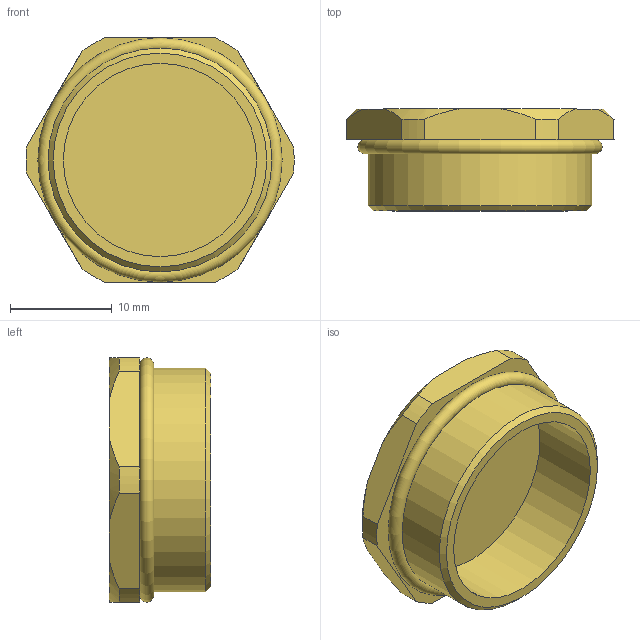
import cadquery as cq
import math

across_flats = 24.0
across_corners = across_flats / math.cos(math.pi / 6)
corner_diameter = 26.35
head_thickness = 3.0
head_chamfer = 1.0

shank_diameter = 22.0
shank_length = 7.0
shank_chamfer = 0.5
bore_diameter = 19.0
bore_depth = shank_length

ring_outer_diameter = 24.0
ring_thickness = 1.4

open_end_y = 0.0
head_inner_y = open_end_y + shank_length
head_outer_y = head_inner_y + head_thickness


def cylinder_along_y(diameter, start_y, length):
    """Cylinder on the Y axis, running from start_y toward +Y."""
    return cq.Workplane("XZ", origin=(0, start_y, 0)).circle(diameter / 2).extrude(-length)


def revolve_about_y(profile):
    """Full turn of a closed profile drawn in the YZ plane (local x is Y, local y is Z)."""
    return profile.revolve(360, (0, 0, 0), (1, 0, 0))


def make_head():
    """Hexagon with two flats facing +Z and -Z, corners turned down and chamfered."""
    hexagon = (
        cq.Workplane("XZ", origin=(0, head_inner_y, 0))
        .polygon(6, across_corners)
        .extrude(-head_thickness)
    )
    turned_blank = revolve_about_y(
        cq.Workplane("YZ")
        .moveTo(head_inner_y, 0)
        .lineTo(head_inner_y, corner_diameter / 2)
        .lineTo(head_outer_y - head_chamfer, corner_diameter / 2)
        .lineTo(head_outer_y, corner_diameter / 2 - head_chamfer)
        .lineTo(head_outer_y, 0)
        .close()
    )
    return hexagon.intersect(turned_blank)


def make_shank():
    """Round shank with a chamfered open end."""
    shank = cylinder_along_y(shank_diameter, open_end_y, shank_length)
    return shank.faces("<Y").chamfer(shank_chamfer)


def make_sealing_ring():
    """Round-section ring resting on the head and sunk slightly into the shank."""
    section_radius = ring_thickness / 2
    centre_radius = ring_outer_diameter / 2 - section_radius
    centre_y = head_inner_y - section_radius
    shank_radius = shank_diameter / 2
    shank_contact_y = centre_y - math.sqrt(section_radius**2 - (centre_radius - shank_radius) ** 2)
    return revolve_about_y(
        cq.Workplane("YZ")
        .moveTo(shank_contact_y, 0)
        .lineTo(shank_contact_y, shank_radius)
        .threePointArc((centre_y, ring_outer_diameter / 2), (head_inner_y, centre_radius))
        .lineTo(head_inner_y, 0)
        .close()
    )


bore = cylinder_along_y(bore_diameter, open_end_y, bore_depth)
result = make_head().union(make_shank()).union(make_sealing_ring()).cut(bore)